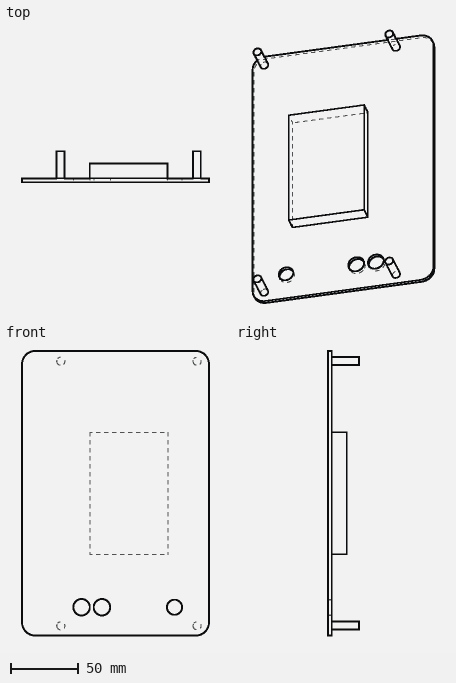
import cadquery as cq

PLATE_WIDTH = 138.0
PLATE_HEIGHT = 210.0
PLATE_THICKNESS = 3.0
CORNER_RADIUS = 10.0

REAR_CENTER_X = 9.75

POST_DIAMETER = 6.0
POST_LENGTH = 20.0
POST_SPACING_X = 100.5
POST_SPACING_Z = 195.0

BLOCK_WIDTH = 57.5
BLOCK_HEIGHT = 90.0
BLOCK_DEPTH = 11.0

HOLE_EDGE_DISTANCE = 21.0
HOLE_ROW_Z = -PLATE_HEIGHT / 2 + HOLE_EDGE_DISTANCE
PAIR_DIAMETER = 12.0
PAIR_SPACING = 15.0
PAIR_CENTER_X = -17.5
SINGLE_DIAMETER = 11.0
SINGLE_X = 43.5


def xz_plane(y):
    """Plane at the given Y with local x toward -X and local y toward +Z; extrusions grow toward +Y."""
    return cq.Workplane(cq.Plane(origin=(0, y, 0), xDir=(-1, 0, 0), normal=(0, 1, 0)))


def make_plate():
    plate = xz_plane(0).rect(PLATE_WIDTH, PLATE_HEIGHT).extrude(PLATE_THICKNESS)
    return plate.edges("|Y").fillet(CORNER_RADIUS)


def make_posts():
    return (
        xz_plane(PLATE_THICKNESS)
        .center(-REAR_CENTER_X, 0)
        .rect(POST_SPACING_X, POST_SPACING_Z, forConstruction=True)
        .vertices()
        .circle(POST_DIAMETER / 2)
        .extrude(POST_LENGTH)
    )


def make_block():
    return (
        xz_plane(PLATE_THICKNESS)
        .center(-REAR_CENTER_X, 0)
        .rect(BLOCK_WIDTH, BLOCK_HEIGHT)
        .extrude(BLOCK_DEPTH)
    )


def make_hole(x, diameter):
    """Cutter for one through hole of the bottom row."""
    return xz_plane(0).center(-x, HOLE_ROW_Z).circle(diameter / 2).extrude(PLATE_THICKNESS)


result = make_plate().union(make_posts()).union(make_block())
for side in (-1, 1):
    result = result.cut(make_hole(PAIR_CENTER_X + side * PAIR_SPACING / 2, PAIR_DIAMETER))
result = result.cut(make_hole(SINGLE_X, SINGLE_DIAMETER))